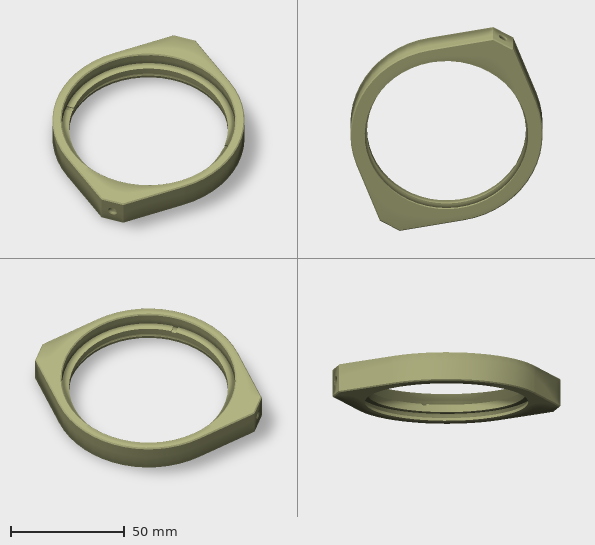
import cadquery as cq
import math

overall_length = 101.6
outer_radius = 42.3
flat_width = 10.1
height = 12.7
rim_chamfer = 0.5

bore_radius = 38.2
bore_chamfer = 0.5
opening_radius = 36.0
lip_thickness = 1.2

ring_inner_radius = 35.0
ring_thickness = 3.4
ring_bottom = 3.7
slot_width = 2.1
slot_depth = 0.6

hole_diameter = 3.4
hole_mouth_diameter = 4.2
hole_depth = 8.1
drill_tip_angle = 118.0


def housing_outline():
    """Circle with two opposite truncated lobes whose sides are tangent to it."""
    half_flat = flat_width / 2
    half_length = overall_length / 2
    corner_distance = math.hypot(half_flat, half_length)
    corner_angle = math.atan2(half_length, half_flat)
    tangent_angle = corner_angle - math.acos(outer_radius / corner_distance)
    tangent_x = outer_radius * math.cos(tangent_angle)
    tangent_y = outer_radius * math.sin(tangent_angle)
    return (
        cq.Workplane("XY")
        .moveTo(half_flat, half_length)
        .lineTo(tangent_x, tangent_y)
        .threePointArc((outer_radius, 0), (tangent_x, -tangent_y))
        .lineTo(half_flat, -half_length)
        .lineTo(-half_flat, -half_length)
        .lineTo(-tangent_x, -tangent_y)
        .threePointArc((-outer_radius, 0), (-tangent_x, tangent_y))
        .lineTo(-half_flat, half_length)
        .close()
    )


def mounting_hole():
    """Countersunk blind hole with a conical tip, entering the -Y flat."""
    radius = hole_diameter / 2
    mouth_radius = hole_mouth_diameter / 2
    mouth_depth = mouth_radius - radius
    tip_length = radius / math.tan(math.radians(drill_tip_angle / 2))
    mouth_y = -overall_length / 2
    profile = [
        (0, mouth_y),
        (mouth_radius, mouth_y),
        (radius, mouth_y + mouth_depth),
        (radius, mouth_y + hole_depth),
        (0, mouth_y + hole_depth + tip_length),
    ]
    hole = cq.Workplane("XY").polyline(profile).close().revolve(360, (0, 0, 0), (0, 1, 0))
    return hole.translate((0, 0, height / 2))


def make_housing():
    body = housing_outline().extrude(height).faces("<Z or >Z").chamfer(rim_chamfer)

    opening = cq.Workplane("XY").circle(opening_radius).extrude(height)
    bore = cq.Workplane("XY").workplane(offset=lip_thickness).circle(bore_radius).extrude(height)
    body = body.cut(opening).cut(bore)
    body = body.faces(">Z").edges(cq.selectors.RadiusNthSelector(0)).chamfer(bore_chamfer)

    for turn in (0, 180):
        body = body.cut(mounting_hole().rotate((0, 0, 0), (0, 0, 1), turn))
    return body


def make_retaining_ring():
    ring = (
        cq.Workplane("XY")
        .workplane(offset=ring_bottom)
        .circle(bore_radius)
        .circle(ring_inner_radius)
        .extrude(ring_thickness)
    )
    slot = (
        cq.Workplane("XY")
        .workplane(offset=ring_bottom + ring_thickness - slot_depth)
        .rect(2 * outer_radius, slot_width)
        .extrude(slot_depth)
    )
    return ring.cut(slot)


housing = make_housing()
retaining_ring = make_retaining_ring()

result = cq.Compound.makeCompound([housing.val(), retaining_ring.val()])